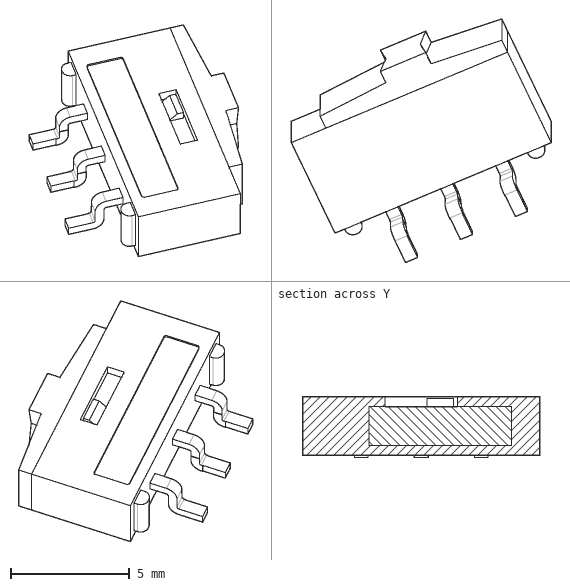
import cadquery as cq
import math


HOUSING_LENGTH = 10.0
HOUSING_DEPTH = 4.5
HOUSING_HEIGHT = 2.47
WALL = 0.42

LABEL_LENGTH = 8.0
LABEL_WIDTH = 1.6
LABEL_FRONT = 0.49
LABEL_DEPTH = 0.08
LABEL_CORNER = 0.1

WINDOW_LENGTH = 3.04
WINDOW_FRONT = 2.93
WINDOW_BACK = 3.69

POST_WIDTH = 0.75
POST_REACH = 0.51
POST_RADIUS = 0.35
POST_HEIGHT = 1.89
POST_SPACING = 8.45

SLIDER_LENGTH = 8.4
SLIDER_END_DEPTH = 0.59
SLIDER_CROWN_DEPTH = 0.86
KNOB_LENGTH = 2.1
KNOB_BACK = 5.9
KNOB_GROOVE_ANGLE = 11.5
TONGUE_LENGTH = 6.0

INDICATOR_LENGTH = 1.11
INDICATOR_BACK = 3.62
INDICATOR_CREST = 3.35
INDICATOR_DROP = 0.08

TERMINAL_COUNT = 3
TERMINAL_PITCH = 2.54
TERMINAL_WIDTH = 0.56
TERMINAL_THICKNESS = 0.39
TERMINAL_REACH = 2.4
TERMINAL_TOP = 1.43
TERMINAL_KNEE = 1.23
FOOT_BOTTOM = -0.1
BEND_INNER_RADIUS = 0.09
SWELL = 0.02
SWELL_TOP = 0.68
SWELL_REACH = 1.38

mid_x = HOUSING_LENGTH / 2
mid_z = HOUSING_HEIGHT / 2
slider_x = SLIDER_LENGTH / 2
window_floor = HOUSING_HEIGHT - WALL
tongue_height = HOUSING_HEIGHT - 2 * WALL
tongue_depth = HOUSING_DEPTH - WINDOW_FRONT
knob_half_length = KNOB_LENGTH / 2
knob_half_waist = knob_half_length - mid_z * math.tan(math.radians(KNOB_GROOVE_ANGLE))


def box(x_min, x_max, y_min, y_max, z_min, z_max):
    """Box between the given limits."""
    return cq.Workplane("XY").box(
        x_max - x_min, y_max - y_min, z_max - z_min, centered=False
    ).translate((x_min, y_min, z_min))


def make_post(x):
    """Upright post whose outer corners are rounded, centred on x."""
    return (
        box(
            x - POST_WIDTH / 2,
            x + POST_WIDTH / 2,
            -POST_REACH,
            0,
            mid_z - POST_HEIGHT / 2,
            mid_z + POST_HEIGHT / 2,
        )
        .faces("<Y")
        .edges("|Z")
        .fillet(POST_RADIUS)
    )


def make_tongue():
    """Part of the slider inside the housing; it also shapes the housing cavity."""
    return box(
        slider_x - TONGUE_LENGTH / 2,
        slider_x + TONGUE_LENGTH / 2,
        HOUSING_DEPTH - tongue_depth,
        HOUSING_DEPTH,
        WALL,
        WALL + tongue_height,
    )


def make_housing():
    """Block with two posts, a label recess, a window and the slider cavity."""
    body = box(0, HOUSING_LENGTH, 0, HOUSING_DEPTH, 0, HOUSING_HEIGHT)
    for side in (-1, 1):
        body = body.union(make_post(mid_x + side * POST_SPACING / 2))
    label = box(
        mid_x - LABEL_LENGTH / 2,
        mid_x + LABEL_LENGTH / 2,
        LABEL_FRONT,
        LABEL_FRONT + LABEL_WIDTH,
        HOUSING_HEIGHT - LABEL_DEPTH,
        HOUSING_HEIGHT,
    ).edges("|Z").fillet(LABEL_CORNER)
    window = box(
        mid_x - WINDOW_LENGTH / 2,
        mid_x + WINDOW_LENGTH / 2,
        WINDOW_FRONT,
        WINDOW_BACK,
        window_floor,
        HOUSING_HEIGHT,
    )
    return body.cut(label).cut(window).cut(make_tongue())


def make_slider_plate():
    """Plate behind the housing, sloping up to the waist of the knob."""
    end_y = HOUSING_DEPTH + SLIDER_END_DEPTH
    crown_y = HOUSING_DEPTH + SLIDER_CROWN_DEPTH
    return (
        cq.Workplane("XY")
        .moveTo(0, HOUSING_DEPTH)
        .lineTo(SLIDER_LENGTH, HOUSING_DEPTH)
        .lineTo(SLIDER_LENGTH, end_y)
        .lineTo(slider_x + knob_half_waist, crown_y)
        .lineTo(slider_x - knob_half_waist, crown_y)
        .lineTo(0, end_y)
        .close()
        .extrude(HOUSING_HEIGHT)
    )


def make_knob():
    """Knob with a shallow V groove at mid height on both ends."""
    return (
        cq.Workplane("XZ", origin=(slider_x, HOUSING_DEPTH, 0))
        .moveTo(-knob_half_length, 0)
        .lineTo(knob_half_length, 0)
        .lineTo(knob_half_waist, mid_z)
        .lineTo(knob_half_length, HOUSING_HEIGHT)
        .lineTo(-knob_half_length, HOUSING_HEIGHT)
        .lineTo(-knob_half_waist, mid_z)
        .close()
        .extrude(HOUSING_DEPTH - KNOB_BACK)
    )


def make_indicator():
    """Block on the tongue with a flat top and a slope down to the window floor."""
    top_z = HOUSING_HEIGHT - INDICATOR_DROP
    return (
        cq.Workplane("YZ", origin=(slider_x, 0, 0))
        .moveTo(WINDOW_FRONT, window_floor)
        .lineTo(INDICATOR_BACK, window_floor)
        .lineTo(INDICATOR_BACK, top_z)
        .lineTo(INDICATOR_CREST, top_z)
        .close()
        .extrude(INDICATOR_LENGTH / 2, both=True)
    )


def make_slider():
    """Plate, knob, tongue and indicator in one piece."""
    return make_slider_plate().union(make_knob()).union(make_tongue()).union(make_indicator())


def make_terminal_strip(x_min, x_max):
    """S-shaped strip between two places along X."""
    inner_radius = BEND_INNER_RADIUS
    outer_radius = inner_radius + TERMINAL_THICKNESS
    inner_mid = inner_radius * math.sqrt(0.5)
    outer_mid = outer_radius * math.sqrt(0.5)
    upper_y = outer_radius - TERMINAL_KNEE
    upper_z = TERMINAL_TOP - outer_radius
    lower_y = -TERMINAL_KNEE - inner_radius
    lower_z = FOOT_BOTTOM + outer_radius
    return (
        cq.Workplane("YZ", origin=(x_min, 0, 0))
        .moveTo(0, TERMINAL_TOP)
        .lineTo(upper_y, TERMINAL_TOP)
        .threePointArc(
            (upper_y - outer_mid, upper_z + outer_mid),
            (upper_y - outer_radius, upper_z),
        )
        .lineTo(lower_y + inner_radius, lower_z)
        .threePointArc(
            (lower_y + inner_mid, lower_z - inner_mid),
            (lower_y, lower_z - inner_radius),
        )
        .lineTo(-TERMINAL_REACH, lower_z - inner_radius)
        .lineTo(-TERMINAL_REACH, FOOT_BOTTOM)
        .lineTo(lower_y, FOOT_BOTTOM)
        .threePointArc(
            (lower_y + outer_mid, lower_z - outer_mid),
            (lower_y + outer_radius, lower_z),
        )
        .lineTo(upper_y - inner_radius, upper_z)
        .threePointArc(
            (upper_y - inner_mid, upper_z + inner_mid),
            (upper_y, upper_z + inner_radius),
        )
        .lineTo(0, upper_z + inner_radius)
        .close()
        .extrude(x_max - x_min)
    )


def make_terminal(index):
    """Terminal strip whose lower bend is widened towards the neighbouring terminals."""
    center_x = mid_x + (index - (TERMINAL_COUNT - 1) / 2) * TERMINAL_PITCH
    strip_left = center_x - TERMINAL_WIDTH / 2
    strip_right = center_x + TERMINAL_WIDTH / 2
    swell_left = strip_left if index == 0 else strip_left - SWELL
    swell_right = strip_right if index == TERMINAL_COUNT - 1 else strip_right + SWELL
    swell_zone = box(swell_left, swell_right, -SWELL_REACH, 0, FOOT_BOTTOM, SWELL_TOP)
    swell = make_terminal_strip(swell_left, swell_right).intersect(swell_zone)
    return make_terminal_strip(strip_left, strip_right).union(swell)


def single_solid(body):
    """The one solid that a body consists of."""
    return body.solids().val()


housing = make_housing()
slider = make_slider()
terminals = [make_terminal(index) for index in range(TERMINAL_COUNT)]

result = cq.Compound.makeCompound([single_solid(body) for body in (housing, slider, *terminals)])